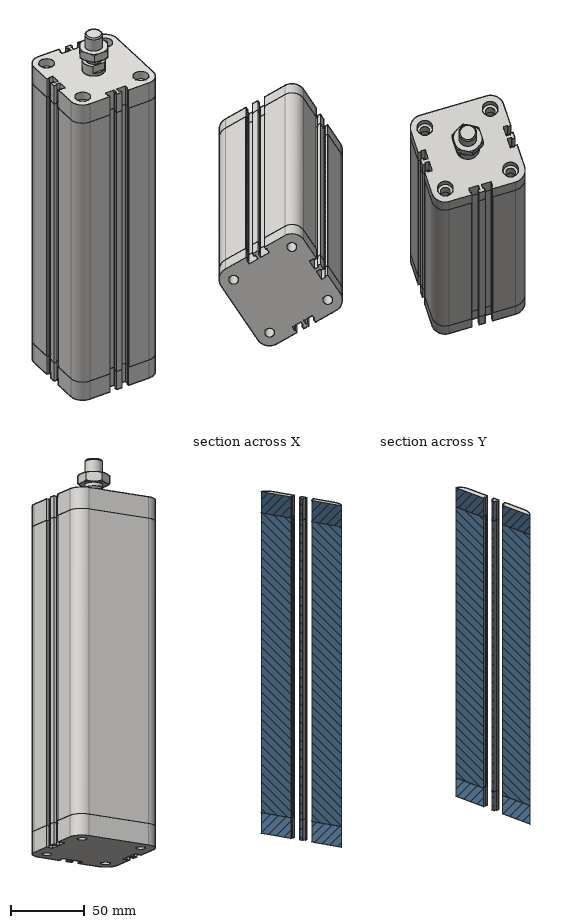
import cadquery as cq
import math


total_height = 275.0
rod_projection = 30.0
body_height = total_height - rod_projection
cap_height = 15.0
barrel_height = body_height - 2 * cap_height

body_side = 66.0
corner_radius = 9.4

slot_depth = 5.2
lip_thickness = 2.2
slots_overall_opening = 14.5
slot_half_opening = slots_overall_opening / 2
slot_half_width = 8.0
rib_half_head = 2.2
rib_half_web = 1.0
barrel_lip_chamfer = 0.3
slotted_face_turns = (-90, 0, 90)

screw_pitch = 46.5
screw_diameter = 6.5
counterbore_diameter = 10.7
counterbore_depth = 6.0

rod_diameter = 16.0
rod_shoulder_height = 8.2
rod_base_chamfer_height = 0.5
rod_base_chamfer_width = 0.15
wrench_flat_width = 13.0
wrench_flat_height = 5.8
neck_diameter = 11.0
neck_height = 2.2
thread_diameter = 12.0
tip_chamfer_height = 1.0
tip_chamfer_width = 0.8

nut_across_flats = 19.0
nut_across_corners = nut_across_flats / math.cos(math.pi / 6)
nut_height = 6.5
nut_base = 258.0
nut_chamfer_height = 0.8
nut_chamfer_width = 1.5
nut_corner_trim_diameter = 22.3


def cylinder(diameter, base, height):
    return cq.Workplane("XY").workplane(offset=base).circle(diameter / 2).extrude(height)


def corner_holes(diameter, base, height):
    """Four cylinders on the screw pitch, used as cutters."""
    return (
        cq.Workplane("XY")
        .workplane(offset=base)
        .rect(screw_pitch, screw_pitch, forConstruction=True)
        .vertices()
        .circle(diameter / 2)
        .extrude(height)
    )


def groove_pair(base, height, lip_chamfer):
    """Cutter for the two mirrored grooves of the -Y face."""
    face_y = -body_side / 2
    lip_y = face_y + lip_thickness
    floor_y = face_y + slot_depth
    outline = [
        (rib_half_head, face_y),
        (slot_half_opening + lip_chamfer, face_y),
    ]
    if lip_chamfer:
        outline.append((slot_half_opening, face_y + lip_chamfer))
    outline += [
        (slot_half_opening, lip_y),
        (slot_half_width, lip_y),
        (slot_half_width, floor_y),
        (rib_half_web, floor_y),
        (rib_half_web, lip_y),
        (rib_half_head, lip_y),
    ]
    groove = cq.Workplane("XY").workplane(offset=base).polyline(outline).close().extrude(height)
    return groove.union(groove.mirror("YZ"))


def body_section(base, height, lip_chamfer=0):
    """Length of the slotted square profile with its four through holes."""
    section = (
        cq.Workplane("XY")
        .workplane(offset=base)
        .rect(body_side, body_side)
        .extrude(height)
        .edges("|Z")
        .fillet(corner_radius)
    )
    grooves = groove_pair(base, height, lip_chamfer)
    for turn in slotted_face_turns:
        section = section.cut(grooves.rotate((0, 0, 0), (0, 0, 1), turn))
    return section.cut(corner_holes(screw_diameter, base, height))


def make_top_cap():
    cap = body_section(body_height - cap_height, cap_height)
    counterbores = corner_holes(counterbore_diameter, body_height - counterbore_depth, counterbore_depth)
    return cap.cut(counterbores)


def make_rod():
    neck_base = body_height + rod_shoulder_height
    thread_base = neck_base + neck_height

    shoulder = (
        cylinder(rod_diameter, body_height, rod_shoulder_height)
        .faces("<Z")
        .chamfer(rod_base_chamfer_height, rod_base_chamfer_width)
    )
    flats_cutter = (
        cq.Workplane("XY")
        .workplane(offset=neck_base - wrench_flat_height)
        .rect(2 * rod_diameter, 2 * rod_diameter)
        .rect(wrench_flat_width, 1.5 * rod_diameter)
        .extrude(wrench_flat_height)
    )
    neck = cylinder(neck_diameter, neck_base, neck_height)
    thread = (
        cylinder(thread_diameter, thread_base, total_height - thread_base)
        .faces(">Z")
        .chamfer(tip_chamfer_height, tip_chamfer_width)
    )
    return shoulder.cut(flats_cutter).union(neck).union(thread)


def make_nut():
    hexagon = (
        cq.Workplane("XY")
        .workplane(offset=nut_base)
        .transformed(rotate=(0, 0, 30))
        .polygon(6, nut_across_corners)
        .extrude(nut_height)
    )
    corner_trim = (
        cylinder(nut_corner_trim_diameter, nut_base, nut_height)
        .faces("<Z or >Z")
        .chamfer(nut_chamfer_height, nut_chamfer_width)
    )
    thread_hole = cylinder(thread_diameter, nut_base, nut_height)
    return hexagon.intersect(corner_trim).cut(thread_hole)


bottom_cap = body_section(0, cap_height)
barrel = body_section(cap_height, barrel_height, barrel_lip_chamfer)
top_cap = make_top_cap()
rod = make_rod()
nut = make_nut()

bodies = (bottom_cap, barrel, top_cap, rod, nut)
result = cq.Compound.makeCompound([body.solids().val() for body in bodies])